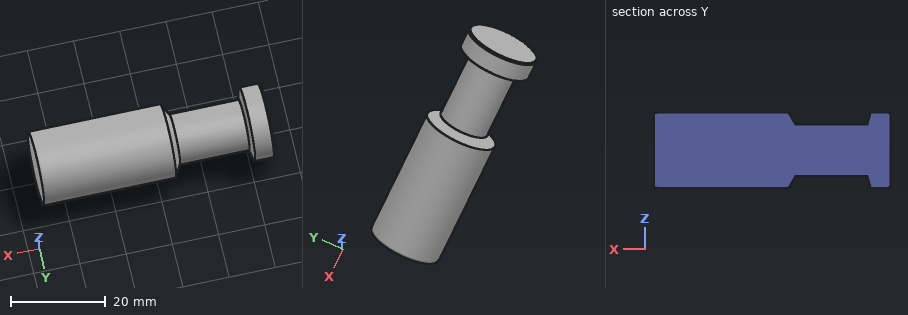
import cadquery as cq
import math

length = 50.0
body_radius = 8.0
neck_radius = 5.5

neck_start = 5.0
neck_end = 20.0

head_cone_angle = 15.0
body_cone_angle = 30.0
shoulder_height = body_radius - neck_radius
head_cone_length = shoulder_height * math.tan(math.radians(head_cone_angle))
body_cone_length = shoulder_height * math.tan(math.radians(body_cone_angle))

head_chamfer = 0.3
tail_chamfer_length = 0.6
tail_chamfer_depth = 0.15

profile = (
    cq.Workplane("XY")
    .moveTo(0, 0)
    .lineTo(0, body_radius - head_chamfer)
    .lineTo(head_chamfer, body_radius)
    .lineTo(neck_start - head_cone_length, body_radius)
    .lineTo(neck_start, neck_radius)
    .lineTo(neck_end, neck_radius)
    .lineTo(neck_end + body_cone_length, body_radius)
    .lineTo(length - tail_chamfer_length, body_radius)
    .lineTo(length, body_radius - tail_chamfer_depth)
    .lineTo(length, 0)
    .close()
)

result = profile.revolve(360, (0, 0, 0), (1, 0, 0))